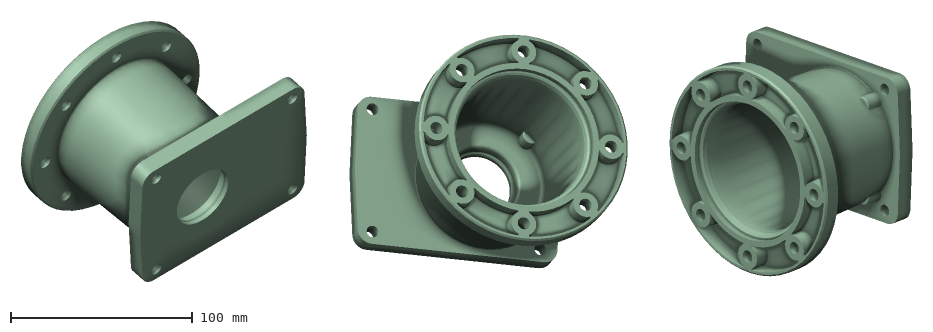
import cadquery as cq
import math

total_length = 85.0
cut_margin = 1.3

flange_radius = 60.0
flange_thickness = 10.0
flange_chamfer = 1.0
pocket_depth = 8.0
pocket_inner_radius = 43.3
pocket_outer_radius = 57.8
pocket_draft_angle = 4.0
flange_hole_count = 8
flange_hole_circle_radius = 50.2
flange_hole_diameter = 7.0
boss_radius = 7.1
boss_neck_width = 5.9

plate_thickness = 10.0
plate_height = 86.0
plate_apex_far = 74.0
plate_apex_near = -44.2
plate_side_drop = 2.0
plate_corner_radius = 8.0
apex_round_half_width = 4.0
apex_lip_thickness = 0.8
plate_hole_diameter = 6.7
plate_hole_far = 63.8
plate_hole_near = -32.7
plate_hole_height = 35.8
plate_start = total_length - plate_thickness

body_radius_at_flange = 41.1
body_radius_at_plate = 39.0
body_root_fillet = 1.0
plate_root_fillet = 0.4

mouth_diameter = 80.0
mouth_radius = mouth_diameter / 2
mouth_depth = 3.6
ledge_inner_radius = 39.0
ledge_chamfer_radius = 37.9
ledge_chamfer_depth = 0.7
throat_radius = 37.0
throat_start = 6.5
throat_end_radius = 36.7
throat_end = 9.6
cavity_end_radius = 34.6
cavity_floor = plate_start
cavity_floor_fillet = 2.8
recess_diameter = 40.0
recess_radius = recess_diameter / 2
recess_lip_round = 1.9
recess_depth = 6.7
exit_radius = 18.2
exit_chamfer = 0.7

pad_radius = 5.1
pad_length = 10.0
pad_circle_radius = 36.6
pad_angle = 47.2
pad_edge_fillet = 0.7


def cylinder_x(radius, start, end, y=0.0, z=0.0):
    """Cylinder parallel to X between two X positions."""
    return cq.Workplane("YZ", origin=(start, y, z)).circle(radius).extrude(end - start)


def make_flange():
    """Chamfered disc with a drafted ring pocket, interrupted by a boss and neck at every hole."""
    flange = cylinder_x(flange_radius, 0, flange_thickness).edges().chamfer(flange_chamfer)
    pocket = cq.Workplane("YZ").circle(pocket_outer_radius).extrude(pocket_depth, taper=pocket_draft_angle)
    pocket = pocket.cut(cylinder_x(pocket_inner_radius, 0, pocket_depth))
    neck_length = pocket_outer_radius - pocket_inner_radius + cut_margin
    for index in range(flange_hole_count):
        boss = (
            cq.Workplane("YZ", origin=(0, flange_hole_circle_radius, 0))
            .circle(boss_radius)
            .extrude(pocket_depth, taper=-pocket_draft_angle)
        )
        neck = cq.Workplane("XY").box(pocket_depth, neck_length, boss_neck_width)
        neck = neck.translate((pocket_depth / 2, flange_hole_circle_radius, 0))
        turn = index * 360 / flange_hole_count
        pocket = pocket.cut(boss.union(neck).rotate((0, 0, 0), (1, 0, 0), turn))
    return flange.cut(pocket)


def plate_slab(start, thickness, rounded_apex):
    """Plate outline with rounded corners, extruded along X; the near apex is an arc or a sharp corner."""
    half_height = plate_height / 2
    corner_far = plate_apex_far - plate_side_drop
    corner_near = plate_apex_near + plate_side_drop
    outline = (
        cq.Workplane("YZ", origin=(start, 0, 0))
        .moveTo(corner_near, half_height)
        .lineTo(corner_far, half_height)
        .lineTo(plate_apex_far, 0)
        .lineTo(corner_far, -half_height)
        .lineTo(corner_near, -half_height)
    )
    if rounded_apex:
        arc_end_drop = plate_side_drop * apex_round_half_width / half_height
        arc_end = plate_apex_near + arc_end_drop
        outline = outline.lineTo(arc_end, -apex_round_half_width).threePointArc(
            (plate_apex_near + arc_end_drop / 2, 0), (arc_end, apex_round_half_width))
    else:
        outline = outline.lineTo(plate_apex_near, 0)
    slab = outline.close().extrude(thickness)
    for y in (corner_near, corner_far):
        for z in (-half_height, half_height):
            corner = cq.NearestToPointSelector((start + thickness / 2, y, z))
            slab = slab.edges(corner).fillet(plate_corner_radius)
    return slab


def make_plate():
    """The near apex is rounded everywhere except for a thin sharp lip at the front face."""
    lip = plate_slab(plate_start, apex_lip_thickness, rounded_apex=False)
    main_slab = plate_slab(
        plate_start + apex_lip_thickness, plate_thickness - apex_lip_thickness, rounded_apex=True)
    return lip.union(main_slab)


def make_body():
    """Cone frustum with a concave root where it leaves the flange."""
    root_end = flange_thickness + body_root_fillet
    profile = (
        cq.Workplane("XY")
        .moveTo(flange_thickness, 0)
        .lineTo(flange_thickness, body_radius_at_flange + body_root_fillet)
        .radiusArc((root_end, body_radius_at_flange), -body_root_fillet)
        .lineTo(plate_start, body_radius_at_plate)
        .lineTo(plate_start, 0)
        .close()
    )
    return profile.revolve(360, (0, 0, 0), (1, 0, 0))


def make_bore():
    """Revolved void: straight mouth, chamfered ledge, throat, tapered cavity, floor recess and exit hole."""
    recess_end = cavity_floor + recess_depth
    fillet_start = cavity_floor - cavity_floor_fillet
    profile = (
        cq.Workplane("XY")
        .moveTo(0, 0)
        .lineTo(0, mouth_radius)
        .lineTo(mouth_depth, mouth_radius)
        .lineTo(mouth_depth, ledge_inner_radius)
        .lineTo(mouth_depth + ledge_chamfer_depth, ledge_chamfer_radius)
        .lineTo(throat_start, throat_radius)
        .lineTo(throat_end, throat_end_radius)
        .lineTo(fillet_start, cavity_end_radius)
        .radiusArc((cavity_floor, cavity_end_radius - cavity_floor_fillet), cavity_floor_fillet)
        .lineTo(cavity_floor, recess_radius + recess_lip_round)
        .radiusArc((cavity_floor + recess_lip_round, recess_radius), -recess_lip_round)
        .lineTo(recess_end, recess_radius)
        .lineTo(recess_end, exit_radius + exit_chamfer)
        .lineTo(recess_end + exit_chamfer, exit_radius)
        .lineTo(total_length, exit_radius)
        .lineTo(total_length, 0)
        .close()
    )
    return profile.revolve(360, (0, 0, 0), (1, 0, 0))


def make_pad(side):
    """Rounded pad on the near side, above (side = 1) or below (side = -1) the axis."""
    y = -pad_circle_radius * math.cos(math.radians(pad_angle))
    z = side * pad_circle_radius * math.sin(math.radians(pad_angle))
    pad = cylinder_x(pad_radius, plate_start - pad_length, plate_start, y, z)
    return pad.faces("<X").edges().fillet(pad_edge_fillet)


def drill_flange_holes(part):
    """Ring of through holes, one in the middle of each flange boss."""
    for index in range(flange_hole_count):
        angle = index * 2 * math.pi / flange_hole_count
        y = flange_hole_circle_radius * math.cos(angle)
        z = flange_hole_circle_radius * math.sin(angle)
        part = part.cut(cylinder_x(flange_hole_diameter / 2, 0, flange_thickness, y, z))
    return part


def drill_plate_holes(part):
    """Through hole near each corner of the plate."""
    for y in (plate_hole_near, plate_hole_far):
        for z in (-plate_hole_height, plate_hole_height):
            part = part.cut(cylinder_x(plate_hole_diameter / 2, plate_start, total_length, y, z))
    return part


def fillet_plate_root(part):
    """Concave fillet where the pads and the body beyond them meet the front face of the plate."""
    slack = plate_root_fillet / 2
    pad_reach = pad_circle_radius * math.cos(math.radians(pad_angle)) + pad_radius
    pads_and_far_body = cq.selectors.BoxSelector(
        (plate_start - slack, -pad_reach, -body_radius_at_plate),
        (plate_start + slack, body_radius_at_plate, body_radius_at_plate),
    )
    return part.edges(pads_and_far_body).fillet(plate_root_fillet)


part_with_pads = make_flange().union(make_body()).union(make_plate())
for pad_side in (1, -1):
    part_with_pads = part_with_pads.union(make_pad(pad_side))
part_with_pads = fillet_plate_root(part_with_pads)

result = part_with_pads.cut(make_bore())
for pad_side in (1, -1):
    result = result.union(make_pad(pad_side))
result = drill_flange_holes(result)
result = drill_plate_holes(result)